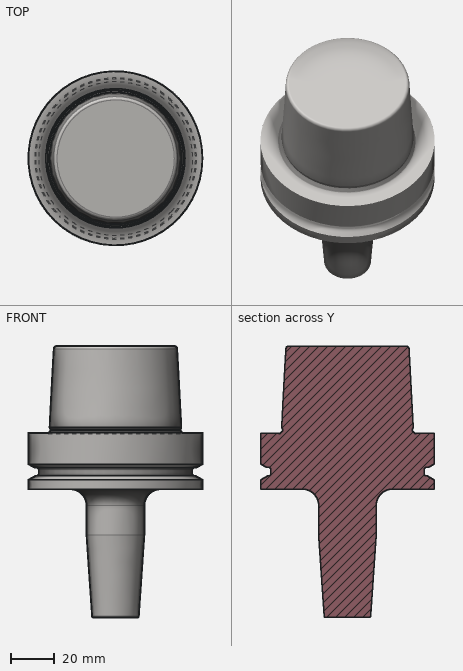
import cadquery as cq
import math

total_length = 124.9

flange_radius = 40.03
flange_height = 26.0
groove_top = -14.4
groove_bottom = -21.6
groove_upper_flank_depth = 2.9
groove_lower_flank_depth = 3.4
groove_flank_angle = math.radians(30)
groove_floor_radius = 35.3
groove_corner_fillet = 0.7

taper_height = 40.0
taper_top_radius = 28.4
taper_base_radius = 30.4
taper_base_z = 2.5
taper_top_fillet = 1.5
neck_radius = 30.0
neck_top_z = 1.7
neck_bottom_z = 0.9
recess_floor_radius = 31.2
recess_outer_radius = 32.0
recess_depth = 0.4

shank_radius = 13.4
shank_root_fillet = 7.2
shank_taper_start_z = -46.7
tip_radius = 10.7
tip_fillet = 0.9

tip_z = taper_height - total_length
flank_slope = math.tan(groove_flank_angle)
groove_upper_wall = groove_top - groove_upper_flank_depth * flank_slope
groove_lower_wall = groove_bottom + groove_lower_flank_depth * flank_slope
corner_radius = groove_floor_radius + groove_corner_fillet


def make_upper_taper():
    """Tapered plug, its necked foot and the part of the flange under it."""
    profile = (
        cq.Workplane("XZ")
        .moveTo(0, taper_height)
        .lineTo(taper_top_radius, taper_height)
        .lineTo(taper_base_radius, taper_base_z)
        .lineTo(neck_radius, neck_top_z)
        .lineTo(neck_radius, neck_bottom_z)
        .lineTo(recess_floor_radius, -recess_depth)
        .lineTo(recess_floor_radius, -flange_height / 2)
        .lineTo(0, -flange_height / 2)
        .close()
    )
    plug = profile.revolve(360, (0, 0, 0), (0, 1, 0))
    return plug.faces(">Z").edges().fillet(taper_top_fillet)


def make_flange():
    """Disc with the gripper groove in its rim and the recess in its upper face."""
    profile = (
        cq.Workplane("XZ")
        .moveTo(0, -recess_depth)
        .lineTo(recess_floor_radius, -recess_depth)
        .lineTo(recess_outer_radius, 0)
        .lineTo(flange_radius, 0)
        .lineTo(flange_radius, groove_top)
        .lineTo(flange_radius - groove_upper_flank_depth, groove_upper_wall)
        .lineTo(corner_radius, groove_upper_wall)
        .radiusArc((groove_floor_radius, groove_upper_wall - groove_corner_fillet), -groove_corner_fillet)
        .lineTo(groove_floor_radius, groove_lower_wall + groove_corner_fillet)
        .radiusArc((corner_radius, groove_lower_wall), -groove_corner_fillet)
        .lineTo(flange_radius - groove_lower_flank_depth, groove_lower_wall)
        .lineTo(flange_radius, groove_bottom)
        .lineTo(flange_radius, -flange_height)
        .lineTo(0, -flange_height)
        .close()
    )
    return profile.revolve(360, (0, 0, 0), (0, 1, 0))


def make_shank():
    """Shank flaring into the flange underside, with a rounded tip."""
    profile = (
        cq.Workplane("XZ")
        .moveTo(0, -flange_height)
        .lineTo(shank_radius + shank_root_fillet, -flange_height)
        .radiusArc((shank_radius, -flange_height - shank_root_fillet), -shank_root_fillet)
        .lineTo(shank_radius, shank_taper_start_z)
        .lineTo(tip_radius, tip_z)
        .lineTo(0, tip_z)
        .close()
    )
    shank = profile.revolve(360, (0, 0, 0), (0, 1, 0))
    return shank.faces("<Z").edges().fillet(tip_fillet)


result = make_flange().union(make_upper_taper()).union(make_shank())